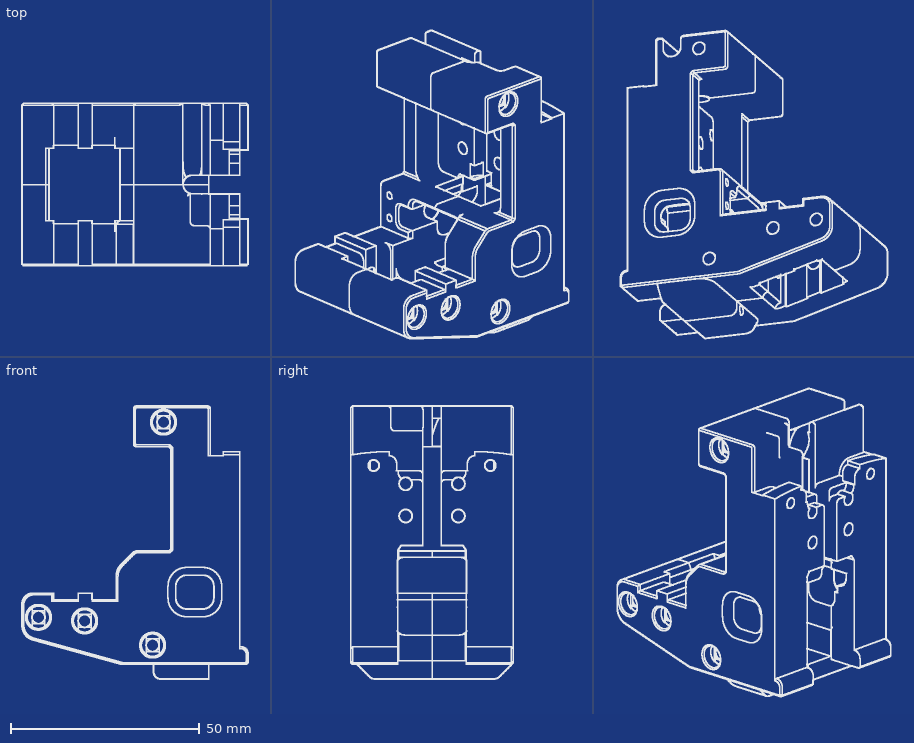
import cadquery as cq
import math

HALF_WIDTH = 21.6
EDGE_CHAMFER = 0.5
FAR = 100.0
PICK_REACH = 0.1

REAR_X = 57.86
FOOT_X = 60.04
FOOT_TOP_Z = 4.7
FOOT_RADIUS = 1.9
TOP_Z = 68.6
BAR_FRONT_X = 29.65
BAR_EDGE_RADIUS = 0.8
NECK_CHAMFER = 0.45
BAR_REAR_X = 50.0
BAR_BOTTOM_Z = 57.75
LEDGE_Z = 55.4
NECK_X = 39.55
DECK_Z = 30.15
DECK_FRONT_X = 31.1
DECK_EDGE_RADIUS = 1.1
SHELF_Z = 17.2
NOSE_TOP_Z = 18.95
NOSE_LEDGE_X = 8.4
NOSE_RADIUS = 3.0
CHIN_RADIUS = 4.0
SLOPE_END_X = 26.5
SLOPE_ANGLE = 15.4

BLOCK_X = 25.0
BLOCK_CHAMFER_X = 29.95
BLOCK_CHAMFER_Z = 25.2
BLOCK_RADIUS = 4.5
BLOCK_SIDE_CHAMFER = 0.9

TAB_X = (14.9, 18.65)

SCREW_DIAMETER = 3.4
HEAD_DIAMETER = 6.0
HEAD_CHAMFER = 0.4
HEAD_DEPTH = 3.0
BRIDGE_STEP = 0.3
SCREW_PLACES = [(37.6, 64.3), (4.4, 12.5), (16.65, 11.55), (34.7, 5.1)]

WINDOW_CENTRE = (45.9, 19.2)
WINDOW_SIZE = (10.05, 8.9)
WINDOW_RADIUS = 2.85
WINDOW_FLARE = 2.1

OPENING_HALF = 9.6
OPENING_FRONT_TOP_X = 6.3
OPENING_FRONT_X = 7.2
OPENING_REAR_X = 26.0
OPENING_REAR_RADIUS = 1.5
RECESS_HALF = 10.4
RECESS_ROUND = 2.0
RECESS_REAR_X = 24.7

PASSAGE_REAR_HALF = 9.1
PASSAGE_FLOOR_Z = 7.8
PASSAGE_ROOF_Z = 28.4
PASSAGE_ROOF_RADIUS = 2.0
PASSAGE_RIM = 0.8
PASSAGE_FLOOR_RADIUS = 2.3
PIT_FRONT_X = 39.2
PIT_HALF = 8.8
PIT_FLOOR_Z = 1.0
BASE_REAR_X = 49.65

BAY_HALF = 16.45
BAY_TOP_RADIUS = 1.2
BAY_FLOOR_RADIUS = 2.0
PLATE_X = 47.7
SLOT_HALF = 2.45
SLOT_EDGE_RADIUS = 1.0
DECK_HOLE_HALF = 8.8
PLATE_FOOT_Z = 31.55
PLATE_FOOT_HALF = 8.2
PLATE_HOLE_DIAMETER = 3.4
PLATE_HOLE_Y = 7.0
PLATE_HOLES_Z = (39.4, 47.95)
CORNER_HOLE_DIAMETER = 2.9
CORNER_HOLE = (15.5, 52.8)
NICK_RADIUS = 4.1
NICK_Z = (32.0, 35.8)

INNER_LEDGE_HALF = 11.8
INNER_LEDGE_Z = 51.4
STEP_RADIUS = 3.8
CLAMP_X = 53.4
CLAMP_HALF = 9.4
CLAMP_TOP_Z = 56.5
CLAMP_MIDDLE_Z = 56.25
CLAMP_SIDE_Z = 55.6
CLAMP_ROUND = 2.0
TIP_X = 55.1
TIP_HALF = 9.0
TIP_ROUND = 2.0
TIP_Z = 49.0

GROOVE_CENTRE_X = 45.25
GROOVE_RADIUS = 2.5
GROOVE_BOTTOM_Z = 62.9
GROOVE_RIM_RADIUS = 1.0
RIDGE_RADIUS = 1.0
BEND_RADIUS = 7.5

POCKET_FRONT_X = 44.7
POCKET_SIDE_Y = 10.9
POCKET_FLOOR_Z = 62.0
POCKET_RADIUS = 1.0

CHANNEL_SIDE_Y = 14.65
CHANNEL_RIM = 0.6
CHANNEL_Z = (19.4, 25.6)
CHANNEL_RADIUS = 1.3
CHANNEL_STEP = (51.8, 21.3)
CHANNEL_REAR_RADIUS = 3.2
PIN_DIAMETER = 1.9
PIN_DEPTH = 6.0
PIN_PLACES = [(17.7, 27.2), (17.7, 20.7)]

BELLY_DEPTH = 3.9
BELLY_FRONT_X = 34.9
BELLY_BOTTOM_Y = (-16.0, 17.3)
BELLY_RADIUS = 2.0
BELLY_CORNER_RADIUS = 3.5
BELLY_HOLE_DIAMETER = 2.6
BELLY_HOLE = (-3.6, -1.4)
BELLY_HOLE_DEPTH = 6.0


def box(x, y, z):
    """Box between the given limits on each axis."""
    size = [limits[1] - limits[0] for limits in (x, y, z)]
    return cq.Workplane("XY").box(*size, centered=False).translate((x[0], y[0], z[0]))


def along_x(sketch_points, x):
    """Prism along X over a (Y, Z) polygon."""
    return cq.Workplane("YZ", origin=(x[0], 0, 0)).polyline(sketch_points).close().extrude(x[1] - x[0])


def round_along_x(y, z, diameter, x):
    return cq.Workplane("YZ", origin=(x[0], y, z)).circle(diameter / 2).extrude(x[1] - x[0])


SLOPE_RISE = SLOPE_END_X * math.tan(math.radians(SLOPE_ANGLE))


def side_outline(with_block):
    """Side outline in X and Z, without the tab."""
    outline = (
        cq.Workplane("XZ").moveTo(0, SLOPE_RISE).lineTo(SLOPE_END_X, 0)
        .lineTo(FOOT_X, 0).lineTo(FOOT_X, FOOT_TOP_Z).lineTo(REAR_X, FOOT_TOP_Z)
        .lineTo(REAR_X, LEDGE_Z).lineTo(BAR_REAR_X, LEDGE_Z).lineTo(BAR_REAR_X, TOP_Z)
        .lineTo(BAR_FRONT_X, TOP_Z).lineTo(BAR_FRONT_X, BAR_BOTTOM_Z)
        .lineTo(NECK_X, BAR_BOTTOM_Z).lineTo(NECK_X, DECK_Z)
    )
    if with_block:
        outline = (
            outline.lineTo(BLOCK_CHAMFER_X, DECK_Z)
            .lineTo(BLOCK_X, BLOCK_CHAMFER_Z).lineTo(BLOCK_X, SHELF_Z)
        )
    else:
        outline = outline.lineTo(DECK_FRONT_X, DECK_Z).lineTo(DECK_FRONT_X, SHELF_Z)
    return (
        outline.lineTo(NOSE_LEDGE_X, SHELF_Z).lineTo(NOSE_LEDGE_X, NOSE_TOP_Z)
        .lineTo(0, NOSE_TOP_Z).close()
    )


def edge_at(body, x, z):
    """The edge along Y that stands at the given X and Z."""
    reach = PICK_REACH
    return body.edges("|Y").edges(cq.selectors.BoxSelector(
        (x - reach, -FAR, z - reach), (x + reach, FAR, z + reach)))


def outline_body(side, with_block):
    """The side outline as a solid, with its rounded and chamfered edges."""
    body = side_outline(with_block).extrude(-side * HALF_WIDTH)
    body = edge_at(body, 0, SLOPE_RISE).fillet(CHIN_RADIUS)
    body = edge_at(body, 0, NOSE_TOP_Z).fillet(NOSE_RADIUS)
    body = edge_at(body, FOOT_X, FOOT_TOP_Z).fillet(FOOT_RADIUS)
    body = edge_at(body, FOOT_X, 0).chamfer(EDGE_CHAMFER)
    for x, z in [(BAR_FRONT_X, TOP_Z), (BAR_FRONT_X, BAR_BOTTOM_Z), (BAR_REAR_X, TOP_Z)]:
        body = edge_at(body, x, z).fillet(BAR_EDGE_RADIUS)
    for z in (DECK_Z, BAR_BOTTOM_Z):
        body = edge_at(body, NECK_X, z).chamfer(NECK_CHAMFER)
    if with_block:
        body = edge_at(body, BLOCK_CHAMFER_X, DECK_Z).chamfer(EDGE_CHAMFER)
        body = edge_at(body, BLOCK_X, BLOCK_CHAMFER_Z).fillet(BLOCK_RADIUS)
    else:
        body = edge_at(body, DECK_FRONT_X, DECK_Z).fillet(DECK_EDGE_RADIUS)
    outer_face = ">Y" if side > 0 else "<Y"
    rear_edges = cq.selectors.BoxSelector(
        (BAR_REAR_X + PICK_REACH, -FAR, FOOT_TOP_Z + PICK_REACH), (FAR, FAR, FAR))
    all_but_rear = cq.selectors.InverseSelector(rear_edges)
    return body.faces(outer_face).edges().edges(all_but_rear).chamfer(EDGE_CHAMFER)


def main_body(side):
    body = outline_body(side, with_block=False)
    if side < 0:
        outside = box((-FAR, FAR), (-HALF_WIDTH, -OPENING_HALF), (-FAR, FAR))
        block = outline_body(side, with_block=True).intersect(outside)
        rim = cq.selectors.BoxSelector(
            (BLOCK_X - PICK_REACH, -OPENING_HALF - PICK_REACH, SHELF_Z + PICK_REACH),
            (BLOCK_CHAMFER_X, -OPENING_HALF + PICK_REACH, DECK_Z - EDGE_CHAMFER))
        block = block.edges(rim).chamfer(BLOCK_SIDE_CHAMFER)
        body = body.cut(outside).union(block)
    tab = box(TAB_X, (0, HALF_WIDTH), (SHELF_Z - 2 * EDGE_CHAMFER, NOSE_TOP_Z))
    return body.union(tab if side > 0 else tab.mirror("XZ"))


def belly():
    y_low, y_high = BELLY_BOTTOM_Y
    section = [
        (y_low, -BELLY_DEPTH), (y_high, -BELLY_DEPTH),
        (y_high + BELLY_DEPTH, 0), (y_low - BELLY_DEPTH, 0),
    ]
    body = along_x(section, (BELLY_FRONT_X, BASE_REAR_X))
    body = body.faces("<X").edges("not |Y").fillet(BELLY_CORNER_RADIUS)
    body = body.faces("<Z").edges("<X").fillet(BELLY_RADIUS)
    hole_x = (BELLY_FRONT_X, BELLY_FRONT_X + BELLY_HOLE_DEPTH)
    hole = round_along_x(*BELLY_HOLE, BELLY_HOLE_DIAMETER, hole_x)
    return body.cut(hole)


def screw_holes():
    """Screw holes along Y, their heads sunk in the -Y face above two bridging steps."""
    cuts = cq.Workplane("XZ")
    for x, z in SCREW_PLACES:
        head_end = HEAD_DEPTH - HALF_WIDTH
        start = cq.Workplane("XZ", origin=(x, -HALF_WIDTH, z))
        shank = start.circle(SCREW_DIAMETER / 2).extrude(-2 * HALF_WIDTH)
        head = start.circle(HEAD_DIAMETER / 2).extrude(-HEAD_DEPTH)
        rim = start.circle(HEAD_DIAMETER / 2 + HEAD_CHAMFER).extrude(-HEAD_CHAMFER, taper=45)
        bridge = cq.Workplane("XZ", origin=(x, head_end, z))
        slot = bridge.rect(SCREW_DIAMETER, HEAD_DIAMETER).extrude(-BRIDGE_STEP)
        slot = slot.intersect(bridge.circle(HEAD_DIAMETER / 2).extrude(-BRIDGE_STEP))
        square = bridge.rect(SCREW_DIAMETER, SCREW_DIAMETER).extrude(-2 * BRIDGE_STEP)
        for cut in (shank, head, rim, slot, square):
            cuts = cuts.add(cut)
    return cuts.combine()


def side_window():
    """Oblong hole along Y, flared at both outer faces."""
    x, z = WINDOW_CENTRE
    hole = cq.Workplane("XZ", origin=(x, HALF_WIDTH, z)).rect(*WINDOW_SIZE).extrude(2 * HALF_WIDTH)
    hole = hole.edges("|Y").fillet(WINDOW_RADIUS)
    wide = [size + 2 * WINDOW_FLARE for size in WINDOW_SIZE]
    for side in (-1, 1):
        outer = cq.Workplane("XZ", origin=(x, side * HALF_WIDTH, z))
        flare = outer.sketch().rect(*wide).vertices().fillet(WINDOW_RADIUS + WINDOW_FLARE).finalize()
        hole = hole.union(flare.extrude(side * WINDOW_FLARE, taper=45))
    return hole


def front_opening():
    """Opening between nose and deck, with wider recesses beside the tab."""
    cut = (
        cq.Workplane("XZ", origin=(0, OPENING_HALF, 0))
        .moveTo(OPENING_FRONT_TOP_X, NOSE_TOP_Z)
        .lineTo(OPENING_FRONT_X, SHELF_Z)
        .lineTo(OPENING_FRONT_X, 0).lineTo(OPENING_REAR_X + OPENING_REAR_RADIUS, 0)
        .radiusArc((OPENING_REAR_X, OPENING_REAR_RADIUS), -OPENING_REAR_RADIUS)
        .lineTo(OPENING_REAR_X, NOSE_TOP_Z).close()
        .extrude(2 * OPENING_HALF)
    )
    for x in [(NOSE_LEDGE_X, TAB_X[0]), (TAB_X[1], RECESS_REAR_X)]:
        cut = cut.union(box(x, (-RECESS_HALF, RECESS_HALF), (0, SHELF_Z)))
        for side in (-1, 1):
            edge = cq.Workplane("YZ", origin=(x[0], 0, 0)).moveTo(side * RECESS_HALF, SHELF_Z)
            lip = (
                edge.lineTo(side * (RECESS_HALF + RECESS_ROUND), SHELF_Z)
                .radiusArc((side * RECESS_HALF, SHELF_Z - RECESS_ROUND), -side * RECESS_ROUND)
                .close().extrude(x[1] - x[0])
            )
            cut = cut.union(lip)
    return cut


def passage():
    """Tunnel under the deck, with the pit in its floor and the open rear of the base."""
    half = OPENING_HALF
    tunnel = box((OPENING_REAR_X, BASE_REAR_X), (-half, half), (PASSAGE_FLOOR_Z, PASSAGE_ROOF_Z))
    tunnel = tunnel.edges("|X and >Z").fillet(PASSAGE_ROOF_RADIUS)
    tunnel = tunnel.edges("|X and <Z").fillet(PASSAGE_FLOOR_RADIUS)
    rim = (
        cq.Workplane("YZ", origin=(DECK_FRONT_X, 0, PASSAGE_ROOF_Z + PASSAGE_RIM - half)).sketch()
        .rect(2 * (half + PASSAGE_RIM), 2 * half).vertices().fillet(PASSAGE_ROOF_RADIUS + PASSAGE_RIM)
        .finalize().extrude(PASSAGE_RIM, taper=45)
    )
    rim = rim.intersect(box((0, FAR), (-half, FAR), (SHELF_Z, DECK_Z)))
    pit = box((PIT_FRONT_X, BASE_REAR_X), (-PIT_HALF, PIT_HALF), (PIT_FLOOR_Z, PASSAGE_ROOF_Z))
    rear = box((BASE_REAR_X, FAR), (-PASSAGE_REAR_HALF, PASSAGE_REAR_HALF), (0, DECK_Z))
    return tunnel.union(rim).union(pit).union(rear)


def bay():
    """Space behind the neck, down through the deck, and the slot and holes in the plates."""
    front = NECK_X - NECK_CHAMFER
    cut = box((front, PLATE_X), (-BAY_HALF, BAY_HALF), (DECK_Z, BAR_BOTTOM_Z))
    cut = cut.edges("|X and >Z").fillet(BAY_TOP_RADIUS)
    cut = cut.edges("|X and <Z").fillet(BAY_FLOOR_RADIUS)
    cut = cut.union(box((NECK_X, FAR), (-DECK_HOLE_HALF, DECK_HOLE_HALF), (PASSAGE_FLOOR_Z, DECK_Z)))
    foot = [
        (-PASSAGE_REAR_HALF, DECK_Z), (PASSAGE_REAR_HALF, DECK_Z),
        (PLATE_FOOT_HALF, PLATE_FOOT_Z), (-PLATE_FOOT_HALF, PLATE_FOOT_Z),
    ]
    cut = cut.union(along_x(foot, (NECK_X, FAR)))
    cut = cut.union(box((NECK_X, FAR), (-SLOT_HALF, SLOT_HALF), (DECK_Z, BAR_BOTTOM_Z)))
    cut = cut.union(box((GROOVE_CENTRE_X, FAR), (-SLOT_HALF, SLOT_HALF), (BAR_BOTTOM_Z, TOP_Z)))
    well = cq.Workplane("XY", origin=(GROOVE_CENTRE_X, 0, BAR_BOTTOM_Z)).circle(SLOT_HALF)
    cut = cut.union(well.extrude(TOP_Z - BAR_BOTTOM_Z))
    nick = cq.Workplane("XY", origin=(PLATE_X, 0, NICK_Z[0])).circle(NICK_RADIUS)
    cut = cut.union(nick.extrude(NICK_Z[1] - NICK_Z[0]))
    for side in (-1, 1):
        for z in PLATE_HOLES_Z:
            cut = cut.union(round_along_x(side * PLATE_HOLE_Y, z, PLATE_HOLE_DIAMETER, (NECK_X, FAR)))
        y, z = CORNER_HOLE
        cut = cut.union(round_along_x(side * y, z, CORNER_HOLE_DIAMETER, (PLATE_X, FAR)))
    return cut


def trough(x, half, radius, top, floor):
    """Trough along X whose upper edges are rounded over."""
    arm = half + radius
    return (
        cq.Workplane("YZ", origin=(x[0], 0, 0))
        .moveTo(-arm, FAR).lineTo(-arm, top).radiusArc((-half, top - radius), radius)
        .lineTo(-half, floor).lineTo(half, floor).lineTo(half, top - radius)
        .radiusArc((arm, top), radius).lineTo(arm, FAR).close().extrude(x[1] - x[0])
    )


def rear_steps():
    """Steps in the rear ledge that narrow toward the rear, and the slot's rounded edges."""
    steps = trough((BAR_REAR_X, CLAMP_X), INNER_LEDGE_HALF, STEP_RADIUS, LEDGE_Z, INNER_LEDGE_Z)
    steps = steps.union(trough((CLAMP_X, FAR), CLAMP_HALF, CLAMP_ROUND, LEDGE_Z, INNER_LEDGE_Z))
    tip = box((TIP_X, FAR), (-TIP_HALF, TIP_HALF), (TIP_Z, LEDGE_Z))
    steps = steps.union(tip.edges("|X and <Z").fillet(TIP_ROUND))
    for x, z in [((BAR_REAR_X, TIP_X), INNER_LEDGE_Z), ((TIP_X, FAR), TIP_Z)]:
        steps = steps.union(trough(x, SLOT_HALF, SLOT_EDGE_RADIUS, z, BAR_BOTTOM_Z - FAR))
    return steps


def clamp_crown(side):
    """Gently arched rise on the rear ledge."""
    inner = side * (CLAMP_HALF + CLAMP_ROUND)
    outer = side * HALF_WIDTH
    middle = ((inner + outer) / 2, CLAMP_MIDDLE_Z)
    return (
        cq.Workplane("YZ", origin=(CLAMP_X, 0, 0))
        .moveTo(inner, INNER_LEDGE_Z).lineTo(inner, CLAMP_TOP_Z).threePointArc(middle, (outer, CLAMP_SIDE_Z))
        .lineTo(outer, INNER_LEDGE_Z).close().extrude(REAR_X - CLAMP_X)
    )


def cable_groove():
    """Round-bottomed groove along Y that bends down into the slot, leaving a rounded ridge behind it."""
    front = GROOVE_CENTRE_X - GROOVE_RADIUS
    rear = GROOVE_CENTRE_X + GROOVE_RADIUS
    axis_z = GROOVE_BOTTOM_Z + GROOVE_RADIUS
    straight = (
        cq.Workplane("XZ", origin=(0, HALF_WIDTH, 0))
        .moveTo(front - GROOVE_RIM_RADIUS, TOP_Z)
        .radiusArc((front, TOP_Z - GROOVE_RIM_RADIUS), GROOVE_RIM_RADIUS)
        .lineTo(front, axis_z).threePointArc((GROOVE_CENTRE_X, GROOVE_BOTTOM_Z), (rear, axis_z))
        .lineTo(rear, TOP_Z - RIDGE_RADIUS).radiusArc((rear + RIDGE_RADIUS, TOP_Z), RIDGE_RADIUS)
        .close().extrude(HALF_WIDTH - BEND_RADIUS)
    )
    rim = (
        cq.Workplane("XZ", origin=(0, BEND_RADIUS, 0))
        .moveTo(front - GROOVE_RIM_RADIUS, TOP_Z)
        .radiusArc((front, TOP_Z - GROOVE_RIM_RADIUS), GROOVE_RIM_RADIUS)
        .lineTo(front, axis_z).lineTo(rear, axis_z)
        .lineTo(rear, TOP_Z - RIDGE_RADIUS).radiusArc((rear + RIDGE_RADIUS, TOP_Z), RIDGE_RADIUS)
        .close().extrude(BEND_RADIUS)
    )
    bend = (
        cq.Workplane("XZ", origin=(GROOVE_CENTRE_X, BEND_RADIUS, axis_z)).circle(GROOVE_RADIUS)
        .revolve(90, (0, -BEND_RADIUS), (1, -BEND_RADIUS))
    )
    return straight.union(rim).union(bend)


def side_channel():
    """Channel from the deck's front face back along X, rising at its rear."""
    x_step, z_step = CHANNEL_STEP
    bottom, top = CHANNEL_Z
    y = (0, CHANNEL_SIDE_Y)
    cut = box((DECK_FRONT_X, x_step), y, CHANNEL_Z)
    rise = (
        cq.Workplane("XZ", origin=(0, CHANNEL_SIDE_Y, 0)).moveTo(x_step, z_step)
        .radiusArc((x_step + CHANNEL_REAR_RADIUS, z_step + CHANNEL_REAR_RADIUS), -CHANNEL_REAR_RADIUS)
        .lineTo(x_step + CHANNEL_REAR_RADIUS, top).lineTo(x_step, top).close().extrude(CHANNEL_SIDE_Y)
    )
    cut = cut.edges("|X and >Y").fillet(CHANNEL_RADIUS)
    mouth = (
        cq.Workplane("YZ", origin=(DECK_FRONT_X, 0, (bottom + top) / 2)).sketch()
        .rect(2 * (CHANNEL_SIDE_Y + CHANNEL_RIM), top - bottom + 2 * CHANNEL_RIM)
        .vertices().fillet(CHANNEL_RADIUS + CHANNEL_RIM).finalize().extrude(CHANNEL_RIM, taper=45)
    )
    return cut.union(rise).union(mouth)


def pin_holes():
    depth = (DECK_FRONT_X, DECK_FRONT_X + PIN_DEPTH)
    cuts = [round_along_x(y, z, PIN_DIAMETER, depth) for y, z in PIN_PLACES]
    return cuts[0].union(cuts[1])


def bar_pocket():
    """Pocket in the bar's rear edge, open to the slot and to the rear, with rounded inner edges."""
    pocket = box((POCKET_FRONT_X, FAR), (-POCKET_SIDE_Y, 0), (POCKET_FLOOR_Z, TOP_Z))
    pocket = pocket.edges("|Z and <X and <Y").fillet(POCKET_RADIUS)
    return pocket.faces("<Z").edges("<X or <Y").fillet(POCKET_RADIUS)


def round_bar_rim(half):
    """Round the top edge along the slot's end and the pocket."""
    rim = cq.selectors.BoxSelector(
        (GROOVE_CENTRE_X - GROOVE_RADIUS - PICK_REACH, -POCKET_SIDE_Y - PICK_REACH, TOP_Z - PICK_REACH),
        (BAR_REAR_X - BAR_EDGE_RADIUS, -PICK_REACH, TOP_Z + PICK_REACH))
    return half.edges(rim).fillet(GROOVE_RIM_RADIUS)


def carriage_half(side):
    room = box((-FAR, FAR), (0, FAR), (-FAR, FAR))
    if side < 0:
        room = room.mirror("XZ")
    half = main_body(side).union(belly().intersect(room)).union(clamp_crown(side))
    for cut in (rear_steps(), front_opening(), passage(), bay()):
        half = half.cut(cut)
    return half.cut(screw_holes()).cut(side_window())


plus_y_half = carriage_half(1)
plus_y_half = plus_y_half.cut(cable_groove()).cut(side_channel()).cut(pin_holes())

minus_y_half = round_bar_rim(carriage_half(-1).cut(bar_pocket()))

result = cq.Compound.makeCompound([plus_y_half.val(), minus_y_half.val()])